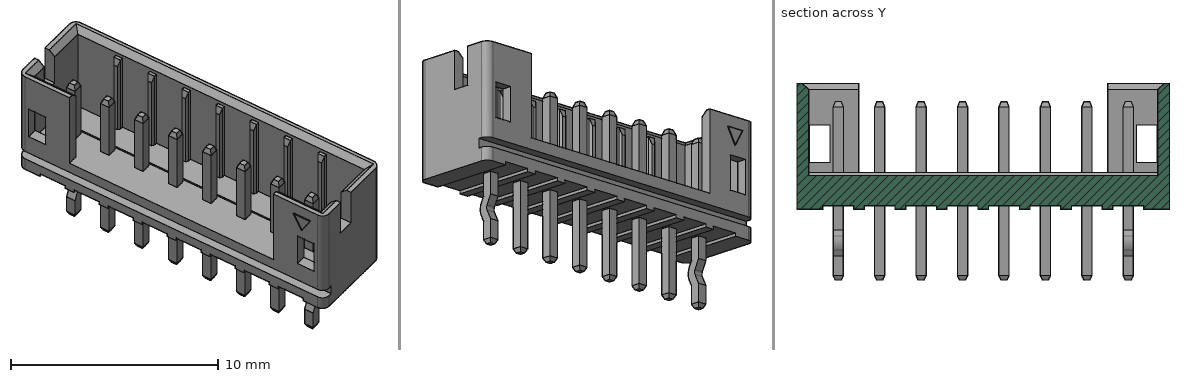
import cadquery as cq
import math


length = 18.0
depth = 4.7
total_height = 9.5
height = 6.08
corner_radius = 0.4
end_wall = 0.58
front_wall = 0.54
back_wall = 0.5
bevel_width = 0.32
bevel_height = 0.29
front_y = -1.8
back_y = front_y + depth

pin_count = 8
pitch = length / (pin_count + 1)
pin_positions = [(i - (pin_count - 1) / 2) * pitch for i in range(pin_count)]
gap_positions = [x + pitch / 2 for x in pin_positions[:-1]]

floor_z = 1.78
low_floor_z = 1.08
slope_start_y = 0.38
slope_end_y = slope_start_y + floor_z - low_floor_z

front_opening_width = 6 * pitch
side_slot_width = 0.88
side_slot_depth = 2.0
window_width = 0.99
window_height = 1.8
window_bottom_z = 2.27
window_offset = 7.9
groove_bottom_z = 0.7
groove_top_z = 1.19
groove_depth = 0.55

foot_width = 0.52
foot_height = 0.16

rib_width = 0.4
rib_depth = 0.29
rib_chamfer_x = 0.09
rib_chamfer_y = 0.13
rib_top_z = height - 0.49
rib_slope_height = 0.38

mark_side = 0.99
mark_thickness = 0.05
mark_x = 7.69
mark_top_z = height - 0.61

pin_width = 0.5
pin_top_z = height - 0.88
pin_bottom_z = height - total_height
tip_inset = 0.1
top_tip_height = 0.27
bottom_tip_height = 0.22

kink_start_z = -0.99
kink_end_z = -2.25
kink_angle = math.radians(26)
kink_inner_radius = 0.27


def box(x0, x1, y0, y1, z0, z1):
    """Axis-aligned block between two opposite corners."""
    return cq.Workplane("XY").box(x1 - x0, y1 - y0, z1 - z0, centered=False).translate((x0, y0, z0))


def extrude_along_x(profile, x_centre, width):
    """Extrude a closed outline drawn on the YZ plane, centred on x_centre."""
    return profile.extrude(width / 2, both=True).translate((x_centre, 0, 0))


def make_shell():
    """Rounded block with the bevelled cavity and its stepped floor cut out."""
    middle_y = (front_y + back_y) / 2
    block = (
        cq.Workplane("XY")
        .center(0, middle_y)
        .rect(length, depth)
        .extrude(height)
        .edges("|Z")
        .fillet(corner_radius)
    )
    inside_front = front_y + front_wall
    inside_back = back_y - back_wall
    cavity_length = length - 2 * end_wall
    cavity_profile = cq.Workplane("YZ").polyline([
        (inside_front, floor_z),
        (slope_start_y, floor_z),
        (slope_end_y, low_floor_z),
        (inside_back, low_floor_z),
        (inside_back, height),
        (inside_front, height),
    ]).close()
    cavity = extrude_along_x(cavity_profile, 0, cavity_length)
    cavity_depth = inside_back - inside_front
    bevel = (
        cq.Workplane("XY", origin=(0, (inside_front + inside_back) / 2, height - bevel_height))
        .rect(cavity_length, cavity_depth)
        .workplane(offset=bevel_height)
        .rect(cavity_length + 2 * bevel_width, cavity_depth + 2 * bevel_width)
        .loft(ruled=True)
    )
    return block.cut(cavity).cut(bevel)


def cut_openings(body):
    """Front opening, latch windows, end slots and the groove along the front."""
    inside_front = front_y + front_wall
    half_opening = front_opening_width / 2
    body = body.cut(box(-half_opening, half_opening, front_y, inside_front, floor_z, height))

    half_length = length / 2
    half_slot = side_slot_width / 2
    body = body.cut(box(-half_length, half_length, -half_slot, half_slot, height - side_slot_depth, height))

    for x in (-window_offset, window_offset):
        body = body.cut(box(
            x - window_width / 2, x + window_width / 2,
            front_y, inside_front,
            window_bottom_z, window_bottom_z + window_height,
        ))

    return body.cut(box(
        -half_length, half_length, front_y, front_y + groove_depth, groove_bottom_z, groove_top_z,
    ))


def cut_standoffs(body):
    """Relieve the underside around each pin, leaving feet between the pins."""
    half_relief = (pitch - foot_width) / 2
    for x in pin_positions:
        body = body.cut(box(x - half_relief, x + half_relief, front_y, back_y, 0, foot_height))
    return body


def make_rib(x):
    """Vertical keying rib with chamfered front edges and a sloped top."""
    root_y = back_y - back_wall
    shoulder_y = root_y - rib_depth + rib_chamfer_y
    front_face_y = root_y - rib_depth
    half = rib_width / 2
    column = cq.Workplane("XY", origin=(x, 0, low_floor_z)).polyline([
        (-half, root_y),
        (-half, shoulder_y),
        (-half + rib_chamfer_x, front_face_y),
        (half - rib_chamfer_x, front_face_y),
        (half, shoulder_y),
        (half, root_y),
    ]).close().extrude(rib_top_z - low_floor_z)
    slope = cq.Workplane("YZ").polyline([
        (shoulder_y, rib_top_z),
        (front_face_y, rib_top_z),
        (front_face_y, rib_top_z - rib_slope_height),
    ]).close()
    return column.cut(extrude_along_x(slope, x, rib_width))


def make_mark():
    """Raised triangle on the front wall, pointing down at pin 1."""
    half = mark_side / 2
    return (
        cq.Workplane("XZ", origin=(mark_x, front_y, mark_top_z))
        .polyline([(-half, 0), (half, 0), (0, -half * math.sqrt(3))])
        .close()
        .extrude(mark_thickness)
    )


def make_tip(x, base_z, end_z):
    """Tapered pin end from the full section at base_z to the small end at end_z."""
    end_width = pin_width - 2 * tip_inset
    return (
        cq.Workplane("XY", origin=(x, 0, base_z))
        .rect(pin_width, pin_width)
        .workplane(offset=end_z - base_z)
        .rect(end_width, end_width)
        .loft(ruled=True)
    )


def kink_arc(face_y, radius):
    """Start, middle and end of the arc rounding the kink on one face of the pin."""
    half_span = (kink_start_z - kink_end_z) / 2
    middle_z = (kink_start_z + kink_end_z) / 2
    corner_y = face_y + half_span * math.tan(kink_angle)
    half_chord = radius * math.sin(kink_angle)
    end_y = corner_y - half_chord * math.tan(kink_angle)
    crest_y = corner_y - radius * (1 / math.cos(kink_angle) - 1)
    return (end_y, middle_z + half_chord), (crest_y, middle_z), (end_y, middle_z - half_chord)


def make_pin(x, kinked):
    """Square pin with tapered ends, bent towards +Y below the housing if kinked."""
    half = pin_width / 2
    top = pin_top_z - top_tip_height
    bottom = pin_bottom_z + bottom_tip_height
    if kinked:
        inner = kink_arc(-half, kink_inner_radius)
        outer = kink_arc(half, kink_inner_radius + pin_width)
        profile = (
            cq.Workplane("YZ")
            .moveTo(-half, top)
            .lineTo(-half, kink_start_z)
            .lineTo(*inner[0])
            .threePointArc(inner[1], inner[2])
            .lineTo(-half, kink_end_z)
            .lineTo(-half, bottom)
            .lineTo(half, bottom)
            .lineTo(half, kink_end_z)
            .lineTo(*outer[2])
            .threePointArc(outer[1], outer[0])
            .lineTo(half, kink_start_z)
            .lineTo(half, top)
            .close()
        )
        shank = extrude_along_x(profile, x, pin_width)
    else:
        shank = box(x - half, x + half, -half, half, bottom, top)
    return shank.union(make_tip(x, top, pin_top_z)).union(make_tip(x, bottom, pin_bottom_z))


result = cut_standoffs(cut_openings(make_shell()))
for gap_x in gap_positions:
    result = result.union(make_rib(gap_x))
result = result.union(make_mark())
for pin_x in pin_positions:
    is_end_pin = pin_x in (pin_positions[0], pin_positions[-1])
    result = result.union(make_pin(pin_x, is_end_pin))